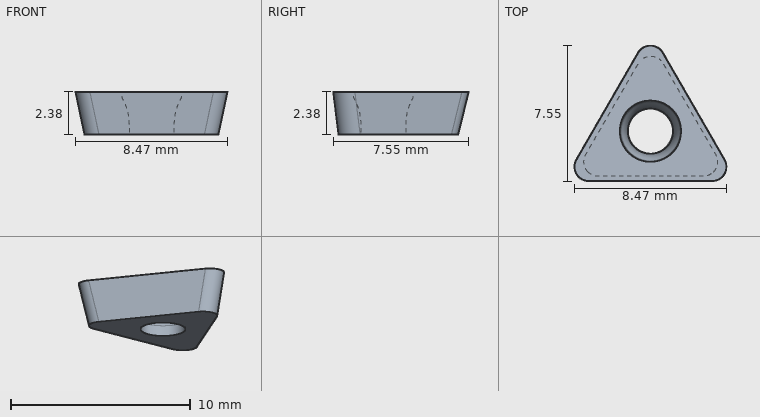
import cadquery as cq
import math

inscribed_diameter = 5.566
thickness = 2.38
corner_radius = 0.8
relief_angle = 7.0

mouth_diameter = 3.42
seat_diameter = 3.30
bore_diameter = 2.5
mouth_depth = 0.31
seat_arc_radius = 2.9

side_count = 3
relief_inset = thickness * math.tan(math.radians(relief_angle))


def rounded_triangle(inscribed_radius, height):
    """Wire of a triangle with rounded corners, one corner toward +Y."""
    arc_centre_distance = (inscribed_radius - corner_radius) / math.cos(math.pi / side_count)

    def corner_point(corner_angle, offset_angle):
        corner = math.radians(corner_angle)
        offset = math.radians(corner_angle + offset_angle)
        return (
            arc_centre_distance * math.cos(corner) + corner_radius * math.cos(offset),
            arc_centre_distance * math.sin(corner) + corner_radius * math.sin(offset),
        )

    half_sweep = 180 / side_count
    corner_angles = [90 + 360 / side_count * i for i in range(side_count)]
    outline = cq.Workplane("XY", origin=(0, 0, height))
    outline = outline.moveTo(*corner_point(corner_angles[0], -half_sweep))
    for i, angle in enumerate(corner_angles):
        if i > 0:
            outline = outline.lineTo(*corner_point(angle, -half_sweep))
        outline = outline.threePointArc(corner_point(angle, 0), corner_point(angle, half_sweep))
    return outline.close().val()


def insert_body():
    """Flanks lean inward toward the base; the corner radius stays constant."""
    top_radius = inscribed_diameter / 2
    base = rounded_triangle(top_radius - relief_inset, 0)
    top = rounded_triangle(top_radius, thickness)
    return cq.Workplane(cq.Solid.makeLoft([base, top], True))


def screw_hole():
    """Revolved cutter; the seat arc runs tangent into the straight bore."""
    bore_radius = bore_diameter / 2
    seat_radius = seat_diameter / 2
    seat_height = thickness - mouth_depth
    arc_centre_x = bore_radius + seat_arc_radius
    seat_drop = math.sqrt(seat_arc_radius**2 - (arc_centre_x - seat_radius) ** 2)
    arc_centre_z = seat_height - seat_drop
    seat_angle = math.asin(seat_drop / seat_arc_radius)
    seat_middle = (
        arc_centre_x - seat_arc_radius * math.cos(seat_angle / 2),
        arc_centre_z + seat_arc_radius * math.sin(seat_angle / 2),
    )
    return (
        cq.Workplane("XZ")
        .lineTo(bore_radius, 0)
        .lineTo(bore_radius, arc_centre_z)
        .threePointArc(seat_middle, (seat_radius, seat_height))
        .lineTo(mouth_diameter / 2, thickness)
        .lineTo(0, thickness)
        .close()
        .revolve(360, (0, 0), (0, 1))
    )


result = insert_body().cut(screw_hole())